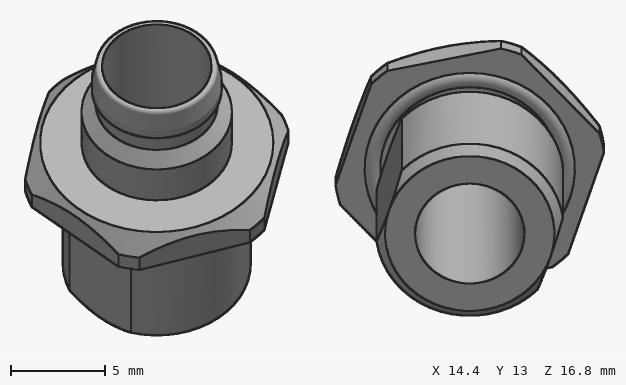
import cadquery as cq

TOTAL_HEIGHT = 16.8
LOWER_CHAMFER_TOP = 0.5
BARREL_TOP = 7.32
NECK_BOTTOM = 7.98
FLANGE_BOTTOM = 8.47
FLANGE_TOP = 10.48
SHOULDER_BOTTOM = 13.04
SHOULDER_TOP = 13.78
BARB_BOTTOM = 14.77
BARB_LAND_BOTTOM = 14.97
BARB_LAND_TOP = 15.54

BORE_RADIUS = 2.9
BOTTOM_RADIUS = 4.5
BARREL_RADIUS = 5.0
NECK_RADIUS = 4.35
SPOUT_RADIUS = 4.0
GROOVE_RADIUS = 3.26
BARB_RADIUS = 3.46
TIP_RADIUS = 3.23
TIP_FILLET = 0.22

HEX_ACROSS_FLATS = 13.0
HEX_ACROSS_CORNERS = 14.4
HEX_TURN = 30.0
HEX_CORNER_RADIUS = HEX_ACROSS_CORNERS / 2
HEX_TOP_RADIUS = 6.2

BARREL_ACROSS_FLATS = 2 * BOTTOM_RADIUS

O_RING_SECTION_RADIUS = 0.5
O_RING_PROTRUSION = 0.22
O_RING_MEAN_RADIUS = 5.17


def revolve_profile(points):
    """Turn an outline of (radius, height) points about the Z axis."""
    return cq.Workplane("XZ").polyline(points).close().revolve(360, (0, 0, 0), (0, 1, 0))


def make_barrel():
    """Chamfered lower barrel with its neck and two flats."""
    barrel = revolve_profile([
        (0, 0),
        (BOTTOM_RADIUS, 0),
        (BARREL_RADIUS, LOWER_CHAMFER_TOP),
        (BARREL_RADIUS, BARREL_TOP),
        (NECK_RADIUS, NECK_BOTTOM),
        (NECK_RADIUS, FLANGE_BOTTOM),
        (0, FLANGE_BOTTOM),
    ])
    flats = cq.Workplane("XY").rect(2 * BARREL_RADIUS, BARREL_ACROSS_FLATS).extrude(FLANGE_BOTTOM)
    return barrel.intersect(flats)


def make_hex_flange():
    """Hexagon with corners turned round and its top edge chamfered at 45 degrees."""
    hexagon = (
        cq.Workplane("XY")
        .workplane(offset=FLANGE_BOTTOM)
        .transformed(rotate=(0, 0, HEX_TURN))
        .polygon(6, HEX_ACROSS_FLATS, circumscribed=True)
        .extrude(FLANGE_TOP - FLANGE_BOTTOM)
    )
    chamfer_height = HEX_CORNER_RADIUS - HEX_TOP_RADIUS
    turned_blank = revolve_profile([
        (0, FLANGE_BOTTOM),
        (HEX_CORNER_RADIUS, FLANGE_BOTTOM),
        (HEX_CORNER_RADIUS, FLANGE_TOP - chamfer_height),
        (HEX_TOP_RADIUS, FLANGE_TOP),
        (0, FLANGE_TOP),
    ])
    return hexagon.intersect(turned_blank)


def make_spout():
    """Upper spout with a groove below a tapered barb and a rounded tip."""
    spout = revolve_profile([
        (0, FLANGE_TOP),
        (SPOUT_RADIUS, FLANGE_TOP),
        (SPOUT_RADIUS, SHOULDER_BOTTOM),
        (GROOVE_RADIUS, SHOULDER_TOP),
        (GROOVE_RADIUS, BARB_BOTTOM),
        (BARB_RADIUS, BARB_LAND_BOTTOM),
        (BARB_RADIUS, BARB_LAND_TOP),
        (TIP_RADIUS, TOTAL_HEIGHT),
        (0, TOTAL_HEIGHT),
    ])
    return spout.faces(">Z").edges().fillet(TIP_FILLET)


def make_o_ring():
    """Round-section ring standing slightly out of the flange underside."""
    center_height = FLANGE_BOTTOM - O_RING_PROTRUSION + O_RING_SECTION_RADIUS
    return cq.Solid.makeTorus(O_RING_MEAN_RADIUS, O_RING_SECTION_RADIUS, cq.Vector(0, 0, center_height))


def make_housing(o_ring):
    """Barrel, flange and spout in one piece, bored through and grooved for the O-ring."""
    groove = cq.Workplane(o_ring)
    bore = cq.Workplane("XY").circle(BORE_RADIUS).extrude(TOTAL_HEIGHT)
    return make_barrel().union(make_hex_flange()).union(make_spout()).cut(bore).cut(groove)


o_ring = make_o_ring()
housing = make_housing(o_ring)

result = cq.Compound.makeCompound([housing.solids().val(), o_ring])